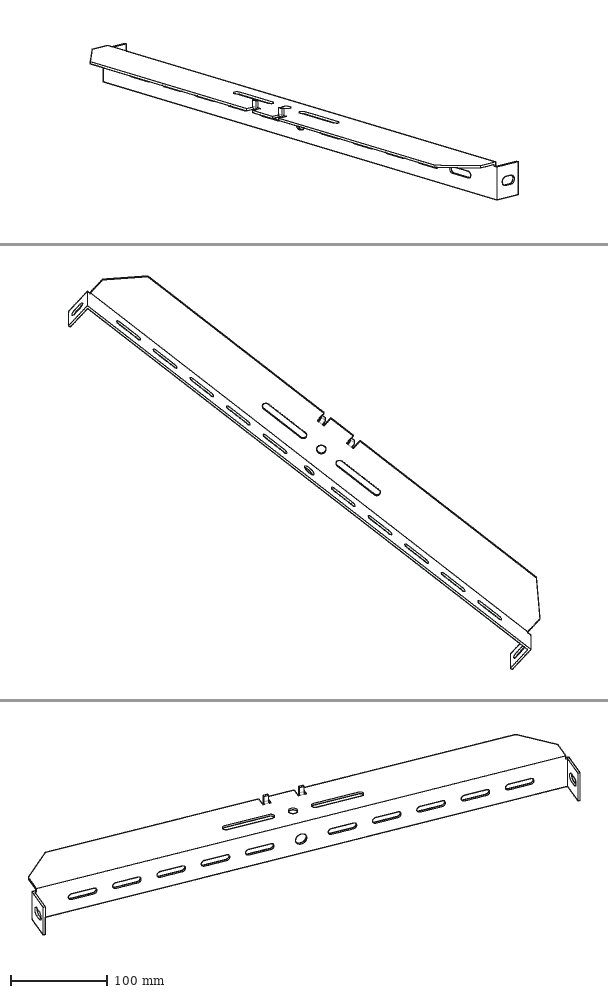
import cadquery as cq

overall_length = 606.0
overall_depth = 83.0
overall_height = 48.5
thickness = 2.5

flange_length = 597.5
flange_depth = 55.0
flange_corner = 33.5

web_height = 40.0
ear_drop = 4.0
ear_height = web_height - ear_drop
ear_depth = overall_depth - flange_depth + thickness

web_hole_height = 18.0
web_hole_diameter = 13.0
web_slot_length = 32.0
web_slot_width = 7.0
web_slot_first = 46.5
web_slot_row = 200.0
web_slots_per_side = 5
web_slot_pitch = web_slot_row / (web_slots_per_side - 1)

flange_hole_inset = 22.0
flange_hole_diameter = 9.5
flange_slot_length = 58.0
flange_slot_width = 7.0
flange_slot_offset = 50.0

ear_slot_length = 17.0
ear_slot_width = 9.5
ear_slot_inset = 14.0

notch_spacing = 40.0
notch_width = 9.0
notch_depth = 11.0
tab_width = 5.5
tab_front_inset = 6.5
tab_bend_outer = notch_depth - tab_front_inset
tab_bend_inner = tab_bend_outer - thickness

web_front = -thickness
flange_front = -flange_depth
flange_bottom = web_height - thickness


def make_flange():
    """Flat top plate with both front corners cut off."""
    plate = cq.Workplane("XY").box(flange_length, flange_depth, thickness, centered=(True, False, False))
    plate = plate.translate((0, flange_front, flange_bottom))
    return plate.edges("|Z and <Y").chamfer(flange_corner)


def make_web():
    """Upright plate: full length up to the ear tops, flange length above them."""
    lower = cq.Workplane("XY").box(overall_length, thickness, ear_height, centered=(True, False, False))
    upper = cq.Workplane("XY").box(flange_length, thickness, web_height, centered=(True, False, False))
    return lower.union(upper).translate((0, web_front, 0))


def make_ear(side):
    """Plate reaching backward at one end; side is -1 or 1."""
    ear = cq.Workplane("XY").box(thickness, ear_depth, ear_height, centered=(True, False, False))
    return ear.translate((side * (overall_length - thickness) / 2, web_front, 0))


def cut_web_openings(body):
    """Round hole in the middle and a row of slots on each side of it."""
    offsets = [web_slot_first + i * web_slot_pitch for i in range(web_slots_per_side)]
    centers = [(side * offset, web_hole_height) for side in (-1, 1) for offset in offsets]
    plane = cq.Workplane("XZ")
    slots = plane.pushPoints(centers).slot2D(web_slot_length, web_slot_width).extrude(thickness)
    hole = plane.center(0, web_hole_height).circle(web_hole_diameter / 2).extrude(thickness)
    return body.cut(slots).cut(hole)


def cut_flange_openings(body):
    """Round hole in the middle with one long slot on each side of it."""
    plane = cq.Workplane("XY", origin=(0, -flange_hole_inset, flange_bottom))
    centers = [(-flange_slot_offset, 0), (flange_slot_offset, 0)]
    slots = plane.pushPoints(centers).slot2D(flange_slot_length, flange_slot_width).extrude(thickness)
    hole = plane.circle(flange_hole_diameter / 2).extrude(thickness)
    return body.cut(slots).cut(hole)


def cut_ear_slots(body):
    """One slot through both ears, lying along Y."""
    center_y = web_front + ear_depth - ear_slot_inset
    plane = cq.Workplane("YZ", origin=(0, center_y, web_hole_height))
    slot = plane.slot2D(ear_slot_length, ear_slot_width).extrude(overall_length / 2, both=True)
    return body.cut(slot)


def make_notch(center_x):
    """Cutter for a rectangular notch open to the front edge."""
    notch = cq.Workplane("XY").box(notch_width, notch_depth, thickness, centered=(True, False, False))
    return notch.translate((center_x, flange_front, flange_bottom))


def make_tab(center_x):
    """Strip bent upward directly from the rear edge of its notch."""
    root = flange_front + notch_depth
    tab_front = flange_front + tab_front_inset
    tab_rear = tab_front + thickness
    bend_z = flange_bottom + tab_bend_outer
    profile = (
        cq.Workplane("YZ", origin=(center_x, 0, 0))
        .moveTo(root, flange_bottom)
        .radiusArc((tab_front, bend_z), tab_bend_outer)
        .lineTo(tab_front, overall_height)
        .lineTo(tab_rear, overall_height)
        .lineTo(tab_rear, bend_z)
        .radiusArc((root, web_height), -tab_bend_inner)
        .close()
    )
    return profile.extrude(tab_width / 2, both=True)


bracket = make_flange().union(make_web())
for ear_side in (-1, 1):
    bracket = bracket.union(make_ear(ear_side))

bracket = cut_web_openings(bracket)
bracket = cut_flange_openings(bracket)
bracket = cut_ear_slots(bracket)

for notch_x in (-notch_spacing / 2, notch_spacing / 2):
    bracket = bracket.cut(make_notch(notch_x))
    bracket = bracket.union(make_tab(notch_x))

result = bracket